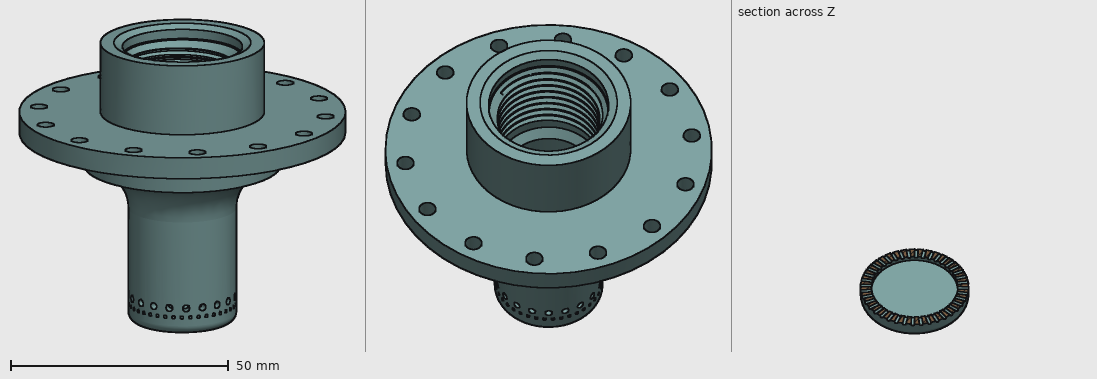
import cadquery as cq
import math

TOTAL_HEIGHT = 66.25

SHAFT_RADIUS = 24.9 / 2
BOTTOM_ROUND = 2.0
COLLAR_RADIUS = 45.2 / 2
COLLAR_BOTTOM = 37.0
FLANGE_RADIUS = 74.9 / 2
FLANGE_BOTTOM = 44.7
FLANGE_THICKNESS = 5.0
FLANGE_TOP = FLANGE_BOTTOM + FLANGE_THICKNESS
BOSS_RADIUS = 37.7 / 2
FLARE_RADIUS = COLLAR_RADIUS - SHAFT_RADIUS
FLARE_BOTTOM = COLLAR_BOTTOM - FLARE_RADIUS

MOUTH_RADIUS = 15.7
MOUTH_CHAMFER_DEPTH = 0.9
RECESS_RADIUS = 27.6 / 2
RECESS_DEPTH = 3.1
EASED_RADIUS = 13.6
EASED_DEPTH = 3.4
THREAD_MINOR_RADIUS = 11.8
LEAD_IN_DEPTH = EASED_DEPTH + EASED_RADIUS - THREAD_MINOR_RADIUS
THREADED_BORE_DEPTH = 22.5
BORE_RADIUS = 19.8 / 2
BORE_TAPER_DEPTH = THREADED_BORE_DEPTH + THREAD_MINOR_RADIUS - BORE_RADIUS
FLOOR_THICKNESS = 3

THREAD_MAJOR_RADIUS = 12.8
THREAD_PITCH = 2.1
THREAD_TURNS = 8
THREAD_START_DEPTH = 4.2
THREAD_ROOT_WIDTH = 0.45
FLANK_SLOPE = math.tan(math.radians(30))
CUTTER_OVERLAP = 0.2

BOLT_HOLE_COUNT = 14
BOLT_HOLE_DIAMETER = 3.8
BOLT_CIRCLE_RADIUS = 33.1

LARGE_SPRAY_COUNT = 20
LARGE_SPRAY_DIAMETER = 1.6
LARGE_SPRAY_HEIGHT = 6.3
LARGE_SPRAY_OFFSET = -360 / LARGE_SPRAY_COUNT / 4
SMALL_SPRAY_COUNT = 40
SMALL_SPRAY_DIAMETER = 0.71
SMALL_SPRAY_HEIGHT = 4.1
DRILL_OVERLAP = 0.75


def revolve_about_axis(outline):
    return outline.close().revolve(360, (0, 0, 0), (0, 1, 0))


def outer_body():
    """Rounded shaft flaring into the collar, with the flange and boss above."""
    diagonal = math.sqrt(0.5)
    round_center_radius = SHAFT_RADIUS - BOTTOM_ROUND
    round_middle = (round_center_radius + BOTTOM_ROUND * diagonal, BOTTOM_ROUND * (1 - diagonal))
    flare_middle = (COLLAR_RADIUS - FLARE_RADIUS * diagonal, FLARE_BOTTOM + FLARE_RADIUS * diagonal)
    outline = (
        cq.Workplane("XZ")
        .lineTo(round_center_radius, 0)
        .threePointArc(round_middle, (SHAFT_RADIUS, BOTTOM_ROUND))
        .lineTo(SHAFT_RADIUS, FLARE_BOTTOM)
        .threePointArc(flare_middle, (COLLAR_RADIUS, COLLAR_BOTTOM))
        .lineTo(COLLAR_RADIUS, FLANGE_BOTTOM)
        .lineTo(FLANGE_RADIUS, FLANGE_BOTTOM)
        .lineTo(FLANGE_RADIUS, FLANGE_TOP)
        .lineTo(BOSS_RADIUS, FLANGE_TOP)
        .lineTo(BOSS_RADIUS, TOTAL_HEIGHT)
        .lineTo(0, TOTAL_HEIGHT)
    )
    return revolve_about_axis(outline)


def cavity():
    """Blind bore with a chamfered mouth, seat recess, conical lead-in and taper below the thread."""
    outline = (
        cq.Workplane("XZ")
        .moveTo(0, TOTAL_HEIGHT)
        .lineTo(MOUTH_RADIUS, TOTAL_HEIGHT)
        .lineTo(RECESS_RADIUS, TOTAL_HEIGHT - MOUTH_CHAMFER_DEPTH)
        .lineTo(RECESS_RADIUS, TOTAL_HEIGHT - RECESS_DEPTH)
        .lineTo(EASED_RADIUS, TOTAL_HEIGHT - EASED_DEPTH)
        .lineTo(THREAD_MINOR_RADIUS, TOTAL_HEIGHT - LEAD_IN_DEPTH)
        .lineTo(THREAD_MINOR_RADIUS, TOTAL_HEIGHT - THREADED_BORE_DEPTH)
        .lineTo(BORE_RADIUS, TOTAL_HEIGHT - BORE_TAPER_DEPTH)
        .lineTo(BORE_RADIUS, FLOOR_THICKNESS)
        .lineTo(0, FLOOR_THICKNESS)
    )
    return revolve_about_axis(outline)


def thread_groove():
    """Helical groove; its upper end lies at +X, cutting into the conical lead-in."""
    helix_height = THREAD_PITCH * THREAD_TURNS
    helix_bottom = TOTAL_HEIGHT - THREAD_START_DEPTH - helix_height
    inner_radius = THREAD_MINOR_RADIUS - CUTTER_OVERLAP
    root_half = THREAD_ROOT_WIDTH / 2
    inner_half = root_half + (THREAD_MAJOR_RADIUS - inner_radius) * FLANK_SLOPE
    helix = cq.Wire.makeHelix(THREAD_PITCH, helix_height, THREAD_MINOR_RADIUS)
    groove = (
        cq.Workplane("XZ")
        .moveTo(inner_radius, -inner_half)
        .lineTo(THREAD_MAJOR_RADIUS, -root_half)
        .lineTo(THREAD_MAJOR_RADIUS, root_half)
        .lineTo(inner_radius, inner_half)
        .close()
        .sweep(cq.Workplane(obj=helix), isFrenet=True)
    )
    return groove.translate((0, 0, helix_bottom))


def bolt_holes():
    return (
        cq.Workplane("XY")
        .workplane(offset=FLANGE_BOTTOM)
        .polarArray(BOLT_CIRCLE_RADIUS, 90, 360, BOLT_HOLE_COUNT)
        .circle(BOLT_HOLE_DIAMETER / 2)
        .extrude(FLANGE_THICKNESS)
    )


def spray_holes(count, diameter, height, first_angle):
    """Ring of radial drills reaching from inside the bore out through the shaft wall."""
    drill_length = SHAFT_RADIUS - BORE_RADIUS + 2 * DRILL_OVERLAP
    drill = (
        cq.Workplane("YZ")
        .workplane(offset=BORE_RADIUS - DRILL_OVERLAP)
        .center(0, height)
        .circle(diameter / 2)
        .extrude(drill_length)
    )
    drills = cq.Workplane("XY")
    for index in range(count):
        angle = first_angle + index * 360 / count
        drills.add(drill.rotate((0, 0, 0), (0, 0, 1), angle))
    return drills.combine()


turned_body = outer_body().cut(cavity()).rotate((0, 0, 0), (0, 0, 1), 180)
large_spray_holes = spray_holes(
    LARGE_SPRAY_COUNT, LARGE_SPRAY_DIAMETER, LARGE_SPRAY_HEIGHT, LARGE_SPRAY_OFFSET
)
small_spray_holes = spray_holes(SMALL_SPRAY_COUNT, SMALL_SPRAY_DIAMETER, SMALL_SPRAY_HEIGHT, 0)

result = (
    turned_body.cut(bolt_holes())
    .cut(large_spray_holes)
    .cut(small_spray_holes)
    .cut(thread_groove())
)